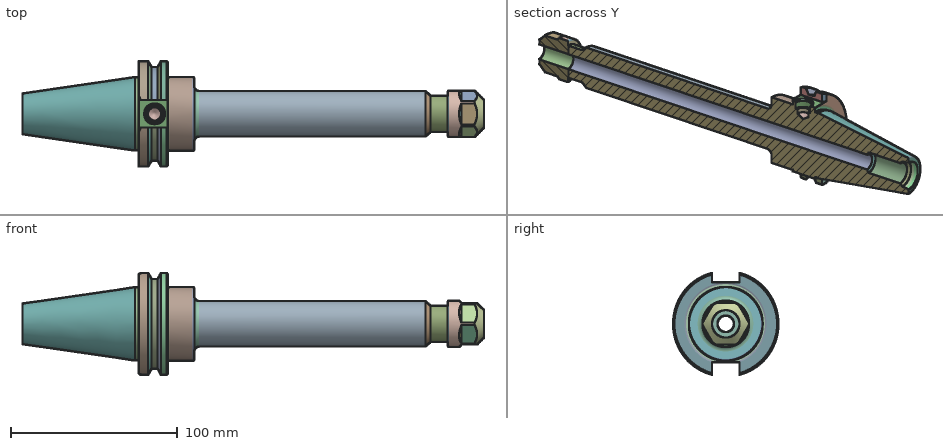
import cadquery as cq
import math


DRILL_POINT_ANGLE = 118

GAUGE_DIAMETER = 44.45
TAPER_RATIO = 7 / 24
TAPER_LENGTH = 68.25
TIP_FILLET = 1.0

RELIEF_DIAMETER = 43.94
RELIEF_FACE_DIAMETER = 49.2
RELIEF_DEPTH = (GAUGE_DIAMETER - RELIEF_DIAMETER) / 2
RELIEF_RAMP = 0.9
FRONT_RELIEF_START = -0.6
BACK_RELIEF_END = 20.2

FLANGE_DIAMETER = 63.28
FLANGE_FRONT = 1.6
FLANGE_BACK = 19.05
FLANGE_FRONT_CHAMFER = 0.2
FLANGE_BACK_CHAMFER = 0.8
GROOVE_CENTER = 11.1
GROOVE_BOTTOM_DIAMETER = 56.5
GROOVE_BOTTOM_WIDTH = 3.7
GROOVE_HALF_ANGLE = 30
SLOT_WIDTH = 16.42
SLOT_CHAMFER_LENGTH = 1.2
SLOT_CHAMFER_WIDTH = 2.5
UPPER_SLOT_FLOOR = 25.0
LOWER_SLOT_FLOOR = 23.1

POCKET_X = GROOVE_CENTER
POCKET_MOUTH_DIAMETER = 12.5
POCKET_DIAMETER = 10.5
POCKET_DEPTH = 5.0
PILOT_DIAMETER = 8.0
PILOT_DEPTH = 8.0

COLLAR_DIAMETER = GAUGE_DIAMETER
COLLAR_END = 34.9
COLLAR_EDGE_RADIUS = 1.0
SHAFT_DIAMETER = 27.43
SHAFT_FILLET = 3.0
SHAFT_END = 173.5
NECK_DIAMETER = 22.0
NECK_CONE_LENGTH = 3.1

BORE_DIAMETER = 9.73
MOUTH_DIAMETER = 18.0
MOUTH_CHAMFER_LENGTH = 2.0
PILOT_BORE_DIAMETER = 16.8
PILOT_BORE_DEPTH = 4.6
THREAD_DIAMETER = 13.38
THREAD_LEAD_LENGTH = (PILOT_BORE_DIAMETER - THREAD_DIAMETER) / 2
THREAD_DEPTH = 30.0

OVERALL_LENGTH = 277.05
NUT_START = 186.9
NUT_END = OVERALL_LENGTH - TAPER_LENGTH
NUT_DIAMETER = 28.0
NUT_EDGE_RADIUS = 1.0
NUT_ACROSS_FLATS = 25.0
NUT_FLAT_START = 193.7
NUT_NOSE_DIAMETER = 16.46
NUT_FLATS = 6


def revolve_about_x(points):
    """Solid of revolution about X from an outline of (x, radius) points."""
    return cq.Workplane("XY").polyline(points).close().revolve(360, (0, 0, 0), (1, 0, 0))


def cylinder_on_x(start, end, diameter):
    return cq.Workplane("YZ", origin=(start, 0, 0)).circle(diameter / 2).extrude(end - start)


def arc_midpoint_offset(radius):
    """Distance, along each side of a right-angled corner, of a rounding arc's midpoint."""
    return radius * (1 - math.sqrt(0.5))


def taper_radius(x):
    return (GAUGE_DIAMETER + TAPER_RATIO * x) / 2


def make_shank():
    """Taper with a rounded small end, then the relief groove that runs into the flange."""
    tip = -TAPER_LENGTH
    relief_radius = RELIEF_DIAMETER / 2
    relief_end = FLANGE_FRONT + RELIEF_DEPTH
    shank = revolve_about_x([
        (tip, 0),
        (tip, taper_radius(tip)),
        (FRONT_RELIEF_START, taper_radius(FRONT_RELIEF_START)),
        (FRONT_RELIEF_START + RELIEF_RAMP, relief_radius),
        (relief_end, relief_radius),
        (relief_end, 0),
    ])
    return shank.faces("<X").edges().fillet(TIP_FILLET)


def drive_slot(floor):
    """Cutter for a slot along X at +Z, its side walls chamfered at the taper-side face."""
    half = SLOT_WIDTH / 2
    chamfered_half = half + SLOT_CHAMFER_WIDTH
    chamfer_end = FLANGE_FRONT + SLOT_CHAMFER_LENGTH
    return (
        cq.Workplane("XY", origin=(0, 0, floor))
        .moveTo(FLANGE_FRONT, -chamfered_half)
        .lineTo(chamfer_end, -half)
        .lineTo(FLANGE_BACK, -half)
        .lineTo(FLANGE_BACK, half)
        .lineTo(chamfer_end, half)
        .lineTo(FLANGE_FRONT, chamfered_half)
        .close()
        .extrude(FLANGE_DIAMETER / 2)
    )


def slot_hole():
    """Cutter for the stepped blind hole, with a countersunk mouth and a drill-point bottom."""
    mouth = POCKET_MOUTH_DIAMETER / 2
    pocket = POCKET_DIAMETER / 2
    pilot = PILOT_DIAMETER / 2
    top = UPPER_SLOT_FLOOR
    point_depth = pilot / math.tan(math.radians(DRILL_POINT_ANGLE / 2))
    return (
        cq.Workplane("XZ")
        .polyline([
            (0, top),
            (mouth, top),
            (pocket, top - (mouth - pocket)),
            (pocket, top - POCKET_DEPTH),
            (pilot, top - POCKET_DEPTH),
            (pilot, top - PILOT_DEPTH),
            (0, top - PILOT_DEPTH - point_depth),
        ])
        .close()
        .revolve(360, (0, 0, 0), (0, 1, 0))
        .translate((POCKET_X, 0, 0))
    )


def make_flange():
    rim = FLANGE_DIAMETER / 2
    groove_bottom = GROOVE_BOTTOM_DIAMETER / 2
    half_bottom = GROOVE_BOTTOM_WIDTH / 2
    half_top = half_bottom + (rim - groove_bottom) * math.tan(math.radians(GROOVE_HALF_ANGLE))
    relief_outer = RELIEF_FACE_DIAMETER / 2
    relief_inner = relief_outer - RELIEF_RAMP
    flange = revolve_about_x([
        (FLANGE_FRONT + RELIEF_DEPTH, 0),
        (FLANGE_FRONT + RELIEF_DEPTH, relief_inner),
        (FLANGE_FRONT, relief_outer),
        (FLANGE_FRONT, rim - FLANGE_FRONT_CHAMFER),
        (FLANGE_FRONT + FLANGE_FRONT_CHAMFER, rim),
        (GROOVE_CENTER - half_top, rim),
        (GROOVE_CENTER - half_bottom, groove_bottom),
        (GROOVE_CENTER + half_bottom, groove_bottom),
        (GROOVE_CENTER + half_top, rim),
        (FLANGE_BACK - FLANGE_BACK_CHAMFER, rim),
        (FLANGE_BACK, rim - FLANGE_BACK_CHAMFER),
        (FLANGE_BACK, relief_outer),
        (FLANGE_BACK - RELIEF_DEPTH, relief_inner),
        (FLANGE_BACK - RELIEF_DEPTH, 0),
    ])
    upper_slot = drive_slot(UPPER_SLOT_FLOOR)
    lower_slot = drive_slot(LOWER_SLOT_FLOOR).rotate((0, 0, 0), (1, 0, 0), 180)
    return flange.cut(upper_slot).cut(lower_slot)


def make_shaft():
    """Collar with its relief groove, shaft with a fillet against the collar, cone and neck."""
    relief_start = FLANGE_BACK - RELIEF_DEPTH
    relief_radius = RELIEF_DIAMETER / 2
    collar = COLLAR_DIAMETER / 2
    shaft = SHAFT_DIAMETER / 2
    neck = NECK_DIAMETER / 2
    edge_mid = arc_midpoint_offset(COLLAR_EDGE_RADIUS)
    fillet_mid = arc_midpoint_offset(SHAFT_FILLET)
    return (
        cq.Workplane("XY")
        .moveTo(relief_start, 0)
        .lineTo(relief_start, relief_radius)
        .lineTo(BACK_RELIEF_END - RELIEF_RAMP, relief_radius)
        .lineTo(BACK_RELIEF_END, collar)
        .lineTo(COLLAR_END - COLLAR_EDGE_RADIUS, collar)
        .threePointArc(
            (COLLAR_END - edge_mid, collar - edge_mid),
            (COLLAR_END, collar - COLLAR_EDGE_RADIUS),
        )
        .lineTo(COLLAR_END, shaft + SHAFT_FILLET)
        .threePointArc((COLLAR_END + fillet_mid, shaft + fillet_mid), (COLLAR_END + SHAFT_FILLET, shaft))
        .lineTo(SHAFT_END, shaft)
        .lineTo(SHAFT_END + NECK_CONE_LENGTH, neck)
        .lineTo(NUT_START, neck)
        .lineTo(NUT_START, 0)
        .close()
        .revolve(360, (0, 0, 0), (1, 0, 0))
    )


def holder_bore():
    """Cutter for the stepped bore, ending in a drill-point cone down to the through bore."""
    tip = -TAPER_LENGTH
    mouth = MOUTH_DIAMETER / 2
    pilot = PILOT_BORE_DIAMETER / 2
    thread = THREAD_DIAMETER / 2
    through = BORE_DIAMETER / 2
    point_length = (thread - through) / math.tan(math.radians(DRILL_POINT_ANGLE / 2))
    return revolve_about_x([
        (tip, 0),
        (tip, mouth),
        (tip + MOUTH_CHAMFER_LENGTH, pilot),
        (tip + PILOT_BORE_DEPTH, pilot),
        (tip + PILOT_BORE_DEPTH + THREAD_LEAD_LENGTH, thread),
        (tip + THREAD_DEPTH, thread),
        (tip + THREAD_DEPTH + point_length, through),
        (NUT_START, through),
        (NUT_START, 0),
    ])


def make_holder():
    holder = make_flange().union(make_shank()).union(make_shaft())
    return holder.cut(slot_hole()).cut(holder_bore())


def nut_flat():
    """Cutter for the flat at +Z, which starts with a 45 degree ramp."""
    flat = NUT_ACROSS_FLATS / 2
    rim = NUT_DIAMETER / 2
    return (
        cq.Workplane("XZ")
        .moveTo(NUT_FLAT_START, rim)
        .lineTo(NUT_FLAT_START + rim - flat, flat)
        .lineTo(NUT_END, flat)
        .lineTo(NUT_END, rim)
        .close()
        .extrude(rim, both=True)
    )


def make_nut():
    rim = NUT_DIAMETER / 2
    nose = NUT_NOSE_DIAMETER / 2
    nut = revolve_about_x([
        (NUT_START, 0),
        (NUT_START, rim),
        (NUT_END - (rim - nose), rim),
        (NUT_END, nose),
        (NUT_END, 0),
    ])
    nut = nut.faces("<X").edges().fillet(NUT_EDGE_RADIUS)
    for index in range(NUT_FLATS):
        nut = nut.cut(nut_flat().rotate((0, 0, 0), (1, 0, 0), index * 360 / NUT_FLATS))
    return nut.cut(cylinder_on_x(NUT_START, NUT_END, BORE_DIAMETER))


holder = make_holder()
nut = make_nut()

result = cq.Compound.makeCompound([holder.val(), nut.val()])